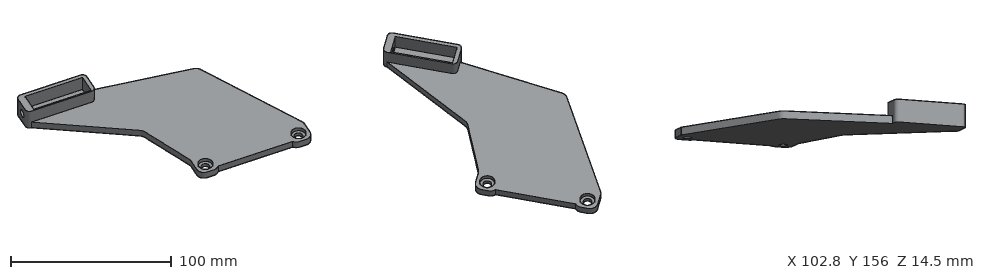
import cadquery as cq

total_x = 102.8
total_y = 156.0
plate_thickness = 5.0
corner_radius = 5.0
shoulder_radius = 5.0
elbow_radius = 6.0
tangent_radius = 5.0

ear_overhang = 1.9
ear_inner_reach = 7.5
ear_width = 14.0
hole_spacing = 64.0
hole_inset = 7.0
hole_diameter = 5.5
counterbore_diameter = 9.5
counterbore_depth = 2.5
ear_left_x = 88.6

shoulder = (16.4, 117.0)
elbow = (52.4, 62.4)
plate_left_x = 6.0
plate_tip_y = 3.0

box_width = 16.0
box_length = 47.3
box_height = 14.5
box_radius = 3.0
pocket_x = 2.5
pocket_y = 5.0
pocket_width = 12.6
pocket_length = 39.5
pocket_floor = 4.0
side_hole_diameter = 5.0
side_hole_z = 7.3

upper_hole_y = total_y - hole_inset
lower_hole_y = upper_hole_y - hole_spacing
hole_x = total_x - hole_inset
ear_bottom_y = lower_hole_y - hole_inset
edge_x = total_x - ear_overhang
hole_centres = [(hole_x, upper_hole_y), (hole_x, lower_hole_y)]


def round_corner(body, x, y, radius):
    """Round the upright edge of the body nearest to (x, y)."""
    edge = cq.selectors.NearestToPointSelector((x, y, plate_thickness / 2))
    return body.edges("|Z").edges(edge).fillet(radius)


def make_plate():
    outline = [
        (plate_left_x, box_length),
        shoulder,
        (ear_left_x, total_y),
        (edge_x, total_y),
        (edge_x, ear_bottom_y),
        (ear_left_x, ear_bottom_y),
        elbow,
        (box_width, plate_tip_y),
        (plate_left_x, plate_tip_y),
    ]
    plate = cq.Workplane("XY").polyline(outline).close().extrude(plate_thickness)
    corners = [
        (*shoulder, shoulder_radius),
        (*elbow, elbow_radius),
        (ear_left_x, total_y, tangent_radius),
        (ear_left_x, ear_bottom_y, tangent_radius),
        (edge_x, total_y, corner_radius),
        (edge_x, ear_bottom_y, corner_radius),
    ]
    for x, y, radius in corners:
        plate = round_corner(plate, x, y, radius)
    return plate


def make_ear(bottom_y):
    """Rounded tab that overhangs the straight right edge of the plate."""
    return (
        cq.Workplane("XY", origin=(total_x - ear_width, bottom_y, 0))
        .rect(ear_width, hole_inset + ear_inner_reach, centered=False)
        .extrude(plate_thickness)
        .edges("|Z and >X")
        .fillet(corner_radius)
    )


def drill_ears(plate):
    return (
        plate.copyWorkplane(cq.Workplane("XY", origin=(0, 0, plate_thickness)))
        .pushPoints(hole_centres)
        .cboreHole(hole_diameter, counterbore_diameter, counterbore_depth)
    )


def make_box():
    return (
        cq.Workplane("XY")
        .rect(box_width, box_length, centered=False)
        .extrude(box_height)
        .edges("|Z")
        .fillet(box_radius)
    )


def make_pocket():
    return (
        cq.Workplane("XY", origin=(pocket_x, pocket_y, pocket_floor))
        .rect(pocket_width, pocket_length, centered=False)
        .extrude(box_height - pocket_floor)
    )


def make_side_hole():
    """Round hole through the end wall, from outside into the pocket."""
    centre_x = pocket_x + pocket_width / 2
    return (
        cq.Workplane("XZ", origin=(centre_x, 0, side_hole_z))
        .circle(side_hole_diameter / 2)
        .extrude(-pocket_y)
    )


plate = make_plate()
for bottom_y in (ear_bottom_y, upper_hole_y - ear_inner_reach):
    plate = plate.union(make_ear(bottom_y))

result = (
    drill_ears(plate)
    .union(make_box())
    .cut(make_pocket())
    .cut(make_side_hole())
)